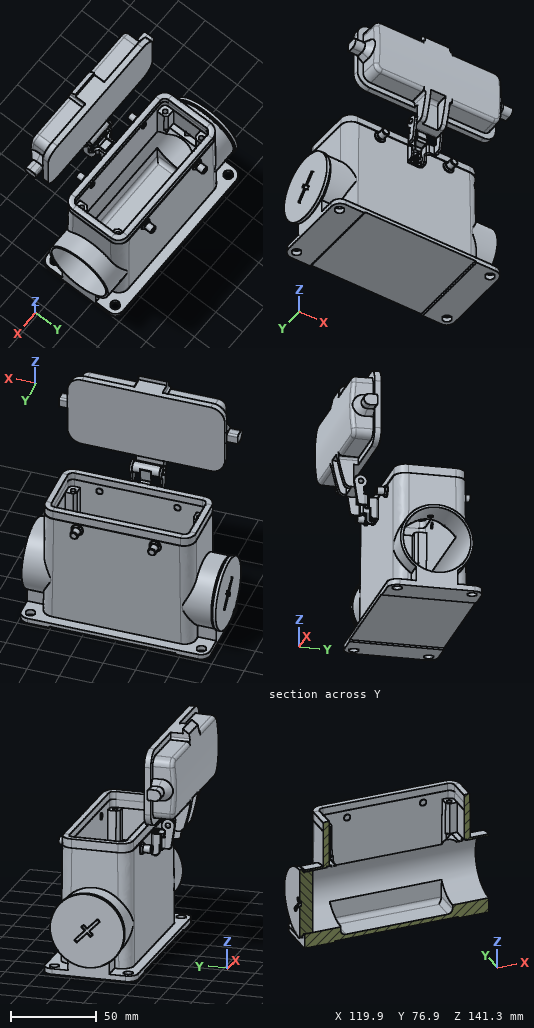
import cadquery as cq
import math

BASE_LENGTH = 116.8
BASE_WIDTH = 56.8
BASE_THICKNESS = 3.5
BASE_CORNER = 6.0
BASE_RELIEF_HEIGHT = 0.8
BASE_RELIEF_LENGTH = 77.1
MOUNT_HOLE_DIAMETER = 5.7
MOUNT_HOLE_X = 52.7
MOUNT_HOLE_Y = 22.5

BODY_FOOT_LENGTH = 94.0
BODY_FOOT_WIDTH = 44.1
BODY_FOOT_CORNER = 7.2
BODY_HEAD_LENGTH = 93.1
BODY_HEAD_WIDTH = 43.4
BODY_HEAD_CORNER = 7.8
BODY_TOP = 74.7

RIM_LENGTH = 93.0
RIM_WIDTH = 42.7
RIM_CORNER = 7.0
RIM_SHOULDER = 80.2
RIM_DOME = 0.5
RIM_WALL = 4.0
RIM_TOP = RIM_SHOULDER + RIM_DOME

ENTRY_DIAMETER = 43.7
BORE_DIAMETER = 40.5
ENTRY_HEIGHT = 30.0
PEDESTAL_WIDTH = 25.0

WELL_LENGTH = 72.0
WELL_WIDTH = 34.5
WELL_TAPER = 0.7
WELL_FLOOR = 4.2
WELL_FLOOR_FILLET = 3.0
MOUTH_STEP = 75.6
PAD_TOP = 70.6
PAD_INNER_Y = 10.2
PAD_CORNER_CUT = 1.4
PAD_HOLE_DIAMETER = 3.0
PAD_HOLE_DEPTH = 8.5
PAD_HOLE_X = 38.9
PAD_HOLE_Y = 13.4
LEDGE_HEIGHT = 51.0
LEDGE_EDGE_X = 38.9
LEDGE_HOLE_DIAMETER = 3.1
LEDGE_HOLE_DEPTH = 2.8

PEG_X = 24.0
PEG_Z = 70.8
PEG_DIAMETER = 4.8
PEG_END_CHAMFER = 0.4
PEG_END_Y = 28.3
PEG_COLLAR_DIAMETER = 7.0
PEG_COLLAR_TIP_DIAMETER = 5.7
PEG_COLLAR_BASE_Y = 22.3
PEG_COLLAR_END_Y = 23.3
PEG_ROOT_Y = 19.8
PEG_DIMPLE_DIAMETER = 4.0
PEG_DIMPLE_END_Y = 17.5

PLUG_DIAMETER = 45.0
PLUG_THICKNESS = 2.1
PLUG_NECK_DIAMETER = 43.0
PLUG_NECK_LENGTH = 1.0
PLUG_STEM_LENGTH = 5.7
PLUG_SLOT_WIDTH = 2.0
PLUG_SLOT_LONG = 19.8
PLUG_SLOT_SHORT = 7.9
PLUG_SLOT_DEPTH = 1.0

FLANGE_LENGTH = 96.9
FLANGE_BOTTOM = 91.8
FLANGE_TOP = 138.5
FLANGE_CORNER = 8.8
FLANGE_BACK = -30.8
FLANGE_FRONT = -34.9
COVER_Z = (FLANGE_BOTTOM + FLANGE_TOP) / 2

SHELL_LENGTH = 89.0
SHELL_HEIGHT = 38.4
SHELL_CORNER = 5.1
SHELL_FILLET = 2.4
SHELL_DRAFT = 1.0
FLARE_RADIUS = 1.4
FACE_FRONT = -48.5
FACE_RADIUS = 113.0

HOOK_WIDTH = 17.5
HOOK_BACK = -42.2
HOOK_TIP = 141.3

TONGUE_WIDTH = 17.0
TONGUE_BACK = -37.6
TONGUE_BOTTOM = 78.0
TONGUE_FILLET = 3.1
TONGUE_SLOT_WIDTH = 10.3
TONGUE_SLOT_BACK = -38.7
TONGUE_SLOT_TOP = 98.3
TONGUE_SLOT_ROUND = 2.3

STUD_LENGTH = 110.3
STUD_RADIUS = 3.4
STUD_BACK_FILLET = 1.1
STUD_Y = -39.5
BOSS_Y = -40.3
BOSS_RADIUS = 6.9
BOSS_ROOT_X = 44.1

PIVOT_Y = -33.6
PIVOT_Z = 81.4
PIVOT_DIAMETER = 3.0
PIVOT_LENGTH = 21.9
PIVOT_END_FILLET = 0.8
KNUCKLE_RADIUS = 3.4
ARM_EYE_RADIUS = 4.0
ARM_THICKNESS = 1.5
ARM_BACK = -31.8
ARM_FOOT_FRONT = -35.3
ARM_FOOT_FILLET = 1.4
BRACKET_BACK = -21.9
BRACKET_BOTTOM = 67.0
BRACKET_TOP = 73.6
SHEET = 1.4
CHANNEL_WIDTH = 10.2
CHANNEL_FRONT = -28.8
BEND_RADIUS = 2.7
CHANNEL_CORNER = 1.3
FOOT_BEND = 1.4
TAB_BOTTOM = 60.8
TAB_FRONT = -26.7
TAB_CHAMFER = 1.1

SPRING_WIDTH = 6.8
SPRING_SHEET = 0.7
SPRING_BOTTOM = 59.2
SPRING_CORNER = 1.1
SPRING_BEND = 2.0
SCREW_DIAMETER = 6.8
SCREW_Z = 64.4
SCREW_HEAD = 1.4
SCREW_RECESS_WIDTH = 0.78
SCREW_RECESS_LENGTH = 4.0
SCREW_RECESS_DEPTH = 0.5


def block(x0, x1, y0, y1, z0, z1):
    """Box between two opposite corners."""
    return cq.Workplane("XY").box(x1 - x0, y1 - y0, z1 - z0, centered=False).translate((x0, y0, z0))


def rounded_block(length, width, corner, z0, z1):
    """Upright block with rounded vertical edges, centred on the Z axis."""
    return block(-length / 2, length / 2, -width / 2, width / 2, z0, z1).edges("|Z").fillet(corner)


def cylinder_x(diameter, x0, x1, y, z):
    """Cylinder along X."""
    return cq.Workplane("YZ", origin=(x0, y, z)).circle(diameter / 2).extrude(x1 - x0)


def cylinder_z(diameter, x, y, z0, z1):
    """Cylinder along Z."""
    return cq.Workplane("XY", origin=(x, y, z0)).circle(diameter / 2).extrude(z1 - z0)


def across_x(profile, width):
    """Extrude a closed profile drawn in the YZ plane symmetrically in X."""
    return profile.extrude(width / 2, both=True)


def base_plate():
    plate = rounded_block(BASE_LENGTH, BASE_WIDTH, BASE_CORNER, 0, BASE_THICKNESS)
    half = BASE_RELIEF_LENGTH / 2
    relief = (
        cq.Workplane("XZ")
        .moveTo(-half - BASE_RELIEF_HEIGHT, 0)
        .lineTo(-half, BASE_RELIEF_HEIGHT)
        .lineTo(half, BASE_RELIEF_HEIGHT)
        .lineTo(half + BASE_RELIEF_HEIGHT, 0)
        .close()
        .extrude(BASE_WIDTH / 2, both=True)
    )
    plate = plate.cut(relief)
    for x in (-MOUNT_HOLE_X, MOUNT_HOLE_X):
        for y in (-MOUNT_HOLE_Y, MOUNT_HOLE_Y):
            plate = plate.cut(cylinder_z(MOUNT_HOLE_DIAMETER, x, y, 0, BASE_THICKNESS))
    return plate


def tapered_body():
    """Body that narrows slightly upwards while its corners grow rounder."""
    foot = rounded_block(
        BODY_FOOT_LENGTH, BODY_FOOT_WIDTH, BODY_FOOT_CORNER, BASE_THICKNESS, BODY_TOP
    )
    head = rounded_block(BODY_HEAD_LENGTH, BODY_HEAD_WIDTH, BODY_HEAD_CORNER, BASE_THICKNESS, BODY_TOP)
    outlines = [foot.faces("<Z").wires().val(), head.faces(">Z").wires().val()]
    return cq.Workplane(cq.Solid.makeLoft(outlines, True))


def rim():
    """Straight collar on the body, topped by a shallow dome that runs round its wall."""
    collar = rounded_block(RIM_LENGTH, RIM_WIDTH, RIM_CORNER, BODY_TOP, RIM_SHOULDER)
    outer_x = RIM_LENGTH / 2
    wall_middle = outer_x - RIM_WALL / 2
    wall_corner = RIM_CORNER - RIM_WALL / 2
    ring = rounded_block(RIM_LENGTH - RIM_WALL, RIM_WIDTH - RIM_WALL, wall_corner, RIM_SHOULDER, RIM_TOP)
    path = ring.faces("<Z").wires()
    dome = (
        cq.Workplane("XZ")
        .moveTo(outer_x, RIM_SHOULDER)
        .threePointArc((wall_middle, RIM_TOP), (outer_x - RIM_WALL, RIM_SHOULDER))
        .close()
        .sweep(path)
    )
    return collar.union(dome)


def cable_entries():
    """Round cable entries at both ends, each standing on a narrow pedestal."""
    half = BASE_LENGTH / 2
    barrel = cylinder_x(ENTRY_DIAMETER, -half, half, 0, ENTRY_HEIGHT)
    pedestal = block(-half, half, -PEDESTAL_WIDTH / 2, PEDESTAL_WIDTH / 2, BASE_THICKNESS, ENTRY_HEIGHT)
    return barrel.union(pedestal)


def peg(side):
    """Latch peg with a conical collar; side is +1 or -1 along Y."""
    half_points = [
        (0, PEG_ROOT_Y),
        (PEG_COLLAR_DIAMETER / 2, PEG_ROOT_Y),
        (PEG_COLLAR_DIAMETER / 2, PEG_COLLAR_BASE_Y),
        (PEG_COLLAR_TIP_DIAMETER / 2, PEG_COLLAR_END_Y),
        (PEG_DIAMETER / 2, PEG_COLLAR_END_Y),
        (PEG_DIAMETER / 2, PEG_END_Y - PEG_END_CHAMFER),
        (PEG_DIAMETER / 2 - PEG_END_CHAMFER, PEG_END_Y),
        (0, PEG_END_Y),
    ]
    shape = cq.Workplane("XY").polyline(half_points).close().revolve(360, (0, 0, 0), (0, 1, 0))
    if side < 0:
        shape = shape.mirror("XZ")
    return shape.translate((0, 0, PEG_Z))


def peg_dimples():
    """Shallow dimples in the inner walls behind a facing pair of pegs."""
    return (
        cq.Workplane("XZ", origin=(0, 0, PEG_Z))
        .circle(PEG_DIMPLE_DIAMETER / 2)
        .extrude(PEG_DIMPLE_END_Y, both=True)
    )


def cavity():
    """Deep central well, pockets over the end ledges, and the wide mouth above the corner pads."""
    mouth_length = RIM_LENGTH - 2 * RIM_WALL
    mouth_width = RIM_WIDTH - 2 * RIM_WALL
    mouth = rounded_block(mouth_length, mouth_width, RIM_CORNER - RIM_WALL, MOUTH_STEP, RIM_TOP)
    throat_outline = cq.Sketch().rect(mouth_length, WELL_WIDTH).vertices().fillet(RIM_CORNER - RIM_WALL)
    throat = (
        cq.Workplane("XY", origin=(0, 0, MOUTH_STEP))
        .placeSketch(throat_outline)
        .extrude(PAD_TOP - MOUTH_STEP, taper=WELL_TAPER)
    )
    well = (
        cq.Workplane("XY", origin=(0, 0, MOUTH_STEP))
        .rect(WELL_LENGTH, WELL_WIDTH)
        .extrude(WELL_FLOOR - MOUTH_STEP, taper=WELL_TAPER)
        .faces("<Z")
        .edges()
        .fillet(WELL_FLOOR_FILLET)
    )

    well_x = WELL_LENGTH / 2 - (MOUTH_STEP - LEDGE_HEIGHT) * math.tan(math.radians(WELL_TAPER))
    slope_bottom = LEDGE_HEIGHT - (LEDGE_EDGE_X - well_x)
    pockets = (
        cq.Workplane("XZ")
        .moveTo(-well_x, slope_bottom)
        .lineTo(well_x, slope_bottom)
        .lineTo(LEDGE_EDGE_X, LEDGE_HEIGHT)
        .lineTo(mouth_length / 2, LEDGE_HEIGHT)
        .lineTo(mouth_length / 2, PAD_TOP)
        .lineTo(-mouth_length / 2, PAD_TOP)
        .lineTo(-mouth_length / 2, LEDGE_HEIGHT)
        .lineTo(-LEDGE_EDGE_X, LEDGE_HEIGHT)
        .close()
        .extrude(PAD_INNER_Y, both=True)
    )
    bore = cylinder_x(BORE_DIAMETER, -BASE_LENGTH / 2, BASE_LENGTH / 2, 0, ENTRY_HEIGHT)
    space = mouth.union(throat).union(well).union(pockets).union(bore)
    corner_cut = cq.Workplane("XY").rect(2 * PAD_CORNER_CUT, 2 * PAD_CORNER_CUT)
    corner_cut = corner_cut.extrude(PAD_TOP - LEDGE_HEIGHT).rotate((0, 0, 0), (0, 0, 1), 45)
    for x_side in (-1, 1):
        ledge_x = x_side * mouth_length / 2
        space = space.union(
            cylinder_z(LEDGE_HOLE_DIAMETER, ledge_x, 0, LEDGE_HEIGHT - LEDGE_HOLE_DEPTH, LEDGE_HEIGHT)
        )
        for y_side in (-1, 1):
            hole_x = x_side * PAD_HOLE_X
            hole_y = y_side * PAD_HOLE_Y
            hole = cylinder_z(PAD_HOLE_DIAMETER, hole_x, hole_y, PAD_TOP - PAD_HOLE_DEPTH, PAD_TOP)
            space = space.union(hole)
            corner = (x_side * well_x, y_side * PAD_INNER_Y, LEDGE_HEIGHT)
            space = space.union(corner_cut.translate(corner))
    return space


def make_housing():
    shape = base_plate().union(tapered_body()).union(rim()).union(cable_entries())
    for x in (-PEG_X, PEG_X):
        for side in (-1, 1):
            shape = shape.union(peg(side).translate((x, 0, 0)))
    shape = shape.cut(cavity())
    for x in (-PEG_X, PEG_X):
        shape = shape.cut(peg_dimples().translate((x, 0, 0)))
    return shape


def make_plug():
    """Blind plug closing the bore at the -X end, with a screwdriver cross on its head."""
    seat = -BASE_LENGTH / 2
    head_inner = seat - PLUG_NECK_LENGTH
    head_outer = head_inner - PLUG_THICKNESS
    half_points = [
        (head_outer, 0),
        (head_outer, PLUG_DIAMETER / 2),
        (head_inner, PLUG_DIAMETER / 2),
        (head_inner, PLUG_NECK_DIAMETER / 2),
        (seat, BORE_DIAMETER / 2),
        (seat + PLUG_STEM_LENGTH, BORE_DIAMETER / 2),
        (seat + PLUG_STEM_LENGTH, 0),
    ]
    shape = cq.Workplane("XY").polyline(half_points).close().revolve(360, (0, 0, 0), (1, 0, 0))
    for length, angle in ((PLUG_SLOT_LONG, 45), (PLUG_SLOT_SHORT, -45)):
        slot = cq.Workplane("XY").box(2 * PLUG_SLOT_DEPTH, PLUG_SLOT_WIDTH, length)
        slot = slot.rotate((0, 0, 0), (1, 0, 0), angle)
        shape = shape.cut(slot.translate((head_outer, 0, 0)))
    return shape.translate((0, 0, ENTRY_HEIGHT))


def face_y(z):
    """Y of the bowed front face at a height."""
    return FACE_FRONT + FACE_RADIUS - math.sqrt(FACE_RADIUS**2 - (z - COVER_Z) ** 2)


def upright_plate(length, height, corner, y_back, y_front):
    """Rounded rectangle in the XZ plane, centred on the cover."""
    return (
        block(
            -length / 2, length / 2, y_front, y_back, COVER_Z - height / 2, COVER_Z + height / 2
        )
        .edges("|Y")
        .fillet(corner)
    )


def bowed_slab():
    """Everything between the flange and the bowed front face."""
    profile = (
        cq.Workplane("YZ")
        .moveTo(FLANGE_BACK, FLANGE_BOTTOM)
        .lineTo(face_y(FLANGE_BOTTOM), FLANGE_BOTTOM)
        .threePointArc((FACE_FRONT, COVER_Z), (face_y(FLANGE_TOP), FLANGE_TOP))
        .lineTo(FLANGE_BACK, FLANGE_TOP)
        .close()
    )
    return across_x(profile, FLANGE_LENGTH)


def cover_shell():
    outline = cq.Sketch().rect(SHELL_LENGTH, SHELL_HEIGHT).vertices().fillet(SHELL_CORNER)
    tub = (
        cq.Workplane("XZ", origin=(0, FLANGE_FRONT, COVER_Z))
        .placeSketch(outline)
        .extrude(FLANGE_FRONT - FACE_FRONT, taper=SHELL_DRAFT)
    )
    return tub.intersect(bowed_slab()).faces("<Y").edges().fillet(SHELL_FILLET)


def shell_flares():
    """Concave corners that blend the hook and the tongue into the shell."""
    flares = cq.Workplane("XY")
    for width, direction in ((HOOK_WIDTH, 1), (TONGUE_WIDTH, -1)):
        edge_z = COVER_Z + direction * SHELL_HEIGHT / 2
        root_z = edge_z - direction * SHELL_FILLET
        tip_z = edge_z + direction * FLARE_RADIUS
        near_x = width / 2
        far_x = near_x + FLARE_RADIUS
        inset = FLARE_RADIUS * (1 - math.sqrt(0.5))
        flare = (
            cq.Workplane("XZ", origin=(0, FLANGE_FRONT, 0))
            .moveTo(near_x, root_z)
            .lineTo(far_x, root_z)
            .lineTo(far_x, edge_z)
            .threePointArc((near_x + inset, edge_z + direction * inset), (near_x, tip_z))
            .close()
            .extrude(FLANGE_FRONT - FACE_FRONT)
            .intersect(bowed_slab())
        )
        flares = flares.add(flare).add(flare.mirror("YZ"))
    return flares


def cover_hook():
    """Hook lip at the top of the cover."""
    profile = (
        cq.Workplane("YZ")
        .moveTo(FLANGE_FRONT, COVER_Z)
        .lineTo(FACE_FRONT, COVER_Z)
        .threePointArc(
            (face_y((COVER_Z + FLANGE_TOP) / 2), (COVER_Z + FLANGE_TOP) / 2),
            (face_y(FLANGE_TOP), FLANGE_TOP),
        )
        .lineTo(HOOK_BACK, HOOK_TIP)
        .lineTo(HOOK_BACK, FLANGE_TOP)
        .lineTo(FLANGE_FRONT, FLANGE_TOP)
        .close()
    )
    return across_x(profile, HOOK_WIDTH)


def cover_tongue():
    """Slotted tongue reaching down to the hinge, with the knuckle round the pivot."""
    foot_y = face_y(TONGUE_BOTTOM)
    middle = (COVER_Z + TONGUE_BOTTOM) / 2
    profile = (
        cq.Workplane("YZ")
        .moveTo(FLANGE_FRONT, COVER_Z)
        .lineTo(FACE_FRONT, COVER_Z)
        .threePointArc((face_y(middle), middle), (foot_y, TONGUE_BOTTOM))
        .lineTo(TONGUE_BACK, TONGUE_BOTTOM)
        .lineTo(TONGUE_BACK, FLANGE_BOTTOM)
        .lineTo(FLANGE_FRONT, FLANGE_BOTTOM)
        .close()
    )
    tongue = across_x(profile, TONGUE_WIDTH)
    tongue = tongue.faces("<Z").edges("<Y").fillet(TONGUE_FILLET)
    knuckle = cylinder_x(2 * KNUCKLE_RADIUS, -TONGUE_WIDTH / 2, TONGUE_WIDTH / 2, PIVOT_Y, PIVOT_Z)
    web = block(
        -TONGUE_WIDTH / 2, TONGUE_WIDTH / 2, TONGUE_BACK, PIVOT_Y, TONGUE_BOTTOM, PIVOT_Z + KNUCKLE_RADIUS / 2
    )
    return tongue.union(knuckle).union(web)


def tongue_slot():
    slot = block(
        -TONGUE_SLOT_WIDTH / 2,
        TONGUE_SLOT_WIDTH / 2,
        FACE_FRONT,
        TONGUE_SLOT_BACK,
        TONGUE_BOTTOM,
        TONGUE_SLOT_TOP,
    )
    return slot.edges(">Y and >Z").fillet(TONGUE_SLOT_ROUND)


def stud_outline(x, y, radius):
    """Outline rounded towards the front and square at the flange, in a plane of constant X."""
    return (
        cq.Workplane("YZ", origin=(x, 0, COVER_Z))
        .moveTo(FLANGE_FRONT, -radius)
        .lineTo(FLANGE_FRONT, radius)
        .lineTo(y, radius)
        .threePointArc((y - radius, 0), (y, -radius))
        .close()
    )


def latch_stud():
    """Stud at the +X end of the cover, growing out of a tapered boss."""
    boss_tip_x = FLANGE_LENGTH / 2
    root = stud_outline(BOSS_ROOT_X, BOSS_Y, BOSS_RADIUS).wires().val()
    tip = stud_outline(boss_tip_x, STUD_Y, STUD_RADIUS).wires().val()
    boss = cq.Workplane(cq.Solid.makeLoft([root, tip], True))
    stud = stud_outline(BOSS_ROOT_X, STUD_Y, STUD_RADIUS).extrude(STUD_LENGTH / 2 - BOSS_ROOT_X)
    stud = stud.faces(">Y").edges("|X").fillet(STUD_BACK_FILLET)
    return boss.union(stud)


def cover_lid():
    height = FLANGE_TOP - FLANGE_BOTTOM
    lid = upright_plate(FLANGE_LENGTH, height, FLANGE_CORNER, FLANGE_BACK, FLANGE_FRONT)
    lid = lid.union(cover_shell()).union(cover_hook()).union(cover_tongue())
    for flare in shell_flares().vals():
        lid = lid.union(cq.Workplane(flare))
    lid = lid.cut(tongue_slot())
    stud = latch_stud()
    return lid.union(stud).union(stud.mirror("YZ"))


def bracket_half():
    """The +X half of the sheet bracket: channel, foot, and the bend into the arm."""
    inner_x = CHANNEL_WIDTH / 2 - SHEET
    arm_outer_x = TONGUE_WIDTH / 2 + ARM_THICKNESS
    foot_front = CHANNEL_FRONT - SHEET
    strip = (
        cq.Workplane("XY", origin=(0, 0, BRACKET_BOTTOM))
        .moveTo(inner_x, BRACKET_BACK - SHEET)
        .lineTo(CHANNEL_WIDTH / 2, BRACKET_BACK - SHEET)
        .lineTo(CHANNEL_WIDTH / 2, CHANNEL_FRONT + FOOT_BEND)
        .lineTo(CHANNEL_WIDTH / 2 + FOOT_BEND, CHANNEL_FRONT)
        .lineTo(arm_outer_x - BEND_RADIUS, CHANNEL_FRONT)
        .radiusArc((arm_outer_x, CHANNEL_FRONT - BEND_RADIUS), BEND_RADIUS)
        .lineTo(arm_outer_x, ARM_BACK)
        .lineTo(arm_outer_x - ARM_THICKNESS, ARM_BACK)
        .lineTo(arm_outer_x - ARM_THICKNESS, foot_front)
        .lineTo(CHANNEL_WIDTH / 2, foot_front)
        .lineTo(inner_x, foot_front + FOOT_BEND)
        .close()
        .extrude(BRACKET_TOP - BRACKET_BOTTOM)
    )
    tab = block(inner_x, CHANNEL_WIDTH / 2, TAB_FRONT, BRACKET_BACK, TAB_BOTTOM, BRACKET_TOP)
    tab = tab.edges("<Y and <Z").chamfer(TAB_CHAMFER)
    tab = tab.edges(">X and >Y").fillet(CHANNEL_CORNER)
    web = block(0, inner_x, BRACKET_BACK - SHEET, BRACKET_BACK, TAB_BOTTOM, BRACKET_TOP)
    return strip.union(tab).union(web).union(hinge_arm())


def hinge_arm():
    """Arm at +X: a round eye over a leg that narrows towards its foot."""
    inner_x = TONGUE_WIDTH / 2
    eye = cylinder_x(2 * ARM_EYE_RADIUS, inner_x, inner_x + ARM_THICKNESS, PIVOT_Y, PIVOT_Z)
    leg = (
        cq.Workplane("YZ", origin=(inner_x, 0, 0))
        .moveTo(ARM_BACK, BRACKET_BOTTOM)
        .lineTo(ARM_FOOT_FRONT, BRACKET_BOTTOM)
        .lineTo(PIVOT_Y - ARM_EYE_RADIUS, PIVOT_Z)
        .lineTo(ARM_BACK, PIVOT_Z)
        .close()
        .extrude(ARM_THICKNESS)
        .faces("<Z")
        .edges("<Y")
        .fillet(ARM_FOOT_FILLET)
    )
    return leg.union(eye)


def spring():
    """Leaf spring bent over the bracket and up behind the knuckle."""
    back = BRACKET_BACK - SHEET
    front = back - SPRING_SHEET
    top = BRACKET_TOP
    under = top - SPRING_SHEET
    bend_back = CHANNEL_FRONT
    rise_back = bend_back - 1.4
    tip_back = bend_back - 0.3
    tip_z = PIVOT_Z + 2.0
    profile = (
        cq.Workplane("YZ")
        .moveTo(back, SPRING_BOTTOM)
        .lineTo(back, top - SPRING_BEND)
        .lineTo(back - SPRING_BEND / 2, top)
        .lineTo(bend_back, top)
        .lineTo(rise_back, top + 1.4)
        .lineTo(tip_back, tip_z)
        .lineTo(tip_back - SPRING_SHEET, tip_z)
        .lineTo(rise_back - SPRING_SHEET, top + 1.4)
        .lineTo(bend_back - SPRING_SHEET, under)
        .lineTo(front - SPRING_BEND / 2, under)
        .lineTo(front, under - SPRING_BEND)
        .lineTo(front, SPRING_BOTTOM)
        .close()
    )
    return across_x(profile, SPRING_WIDTH).edges("|Y and <Z").fillet(SPRING_CORNER)


def screw_head():
    """Cross-recessed head clamping the spring."""
    seat = BRACKET_BACK - SHEET - SPRING_SHEET
    head = cq.Workplane("XZ", origin=(0, seat, SCREW_Z)).circle(SCREW_DIAMETER / 2).extrude(SCREW_HEAD)
    front = seat - SCREW_HEAD
    for angle in (0, 90):
        groove = cq.Workplane("XY").box(SCREW_RECESS_LENGTH, 2 * SCREW_RECESS_DEPTH, SCREW_RECESS_WIDTH)
        groove = groove.rotate((0, 0, 0), (0, 1, 0), angle)
        head = head.cut(groove.translate((0, front, SCREW_Z)))
    return head


def make_cover():
    half = bracket_half()
    pivot = cylinder_x(PIVOT_DIAMETER, -PIVOT_LENGTH / 2, PIVOT_LENGTH / 2, PIVOT_Y, PIVOT_Z)
    pivot = pivot.edges("%CIRCLE").fillet(PIVOT_END_FILLET)
    hinge = half.union(half.mirror("YZ")).union(spring()).union(screw_head()).union(pivot)
    return cover_lid().union(hinge)


housing = make_housing()
plug = make_plug()
cover = make_cover()

result = cq.Compound.makeCompound([housing.val(), plug.val(), cover.val()])